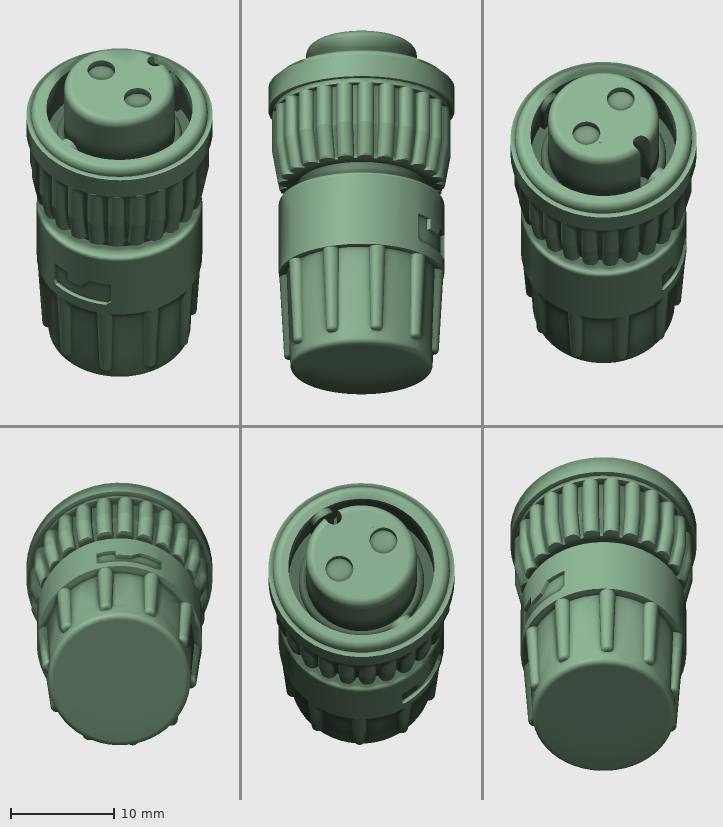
import cadquery as cq
import math

TOTAL_HEIGHT = 33.53

SHELL_BOTTOM_RADIUS = 6.87
SHELL_TOP_RADIUS = 7.25
SHELL_BOTTOM_FILLET = 0.55
SHELL_RIB_COUNT = 10
SHELL_RIB_END_Z = 1.37
SHELL_RIB_END_FILLET = 0.4
SHELL_RIB_TOP_RADIUS = 0.8
SHELL_RIB_END_RADIUS = 0.6
SHELL_RIB_TOP_OFFSET = 7.18
SHELL_RIB_END_OFFSET = 6.9

BARREL_RADIUS = 8.0
BARREL_BOTTOM_Z = 9.92
BARREL_TOP_Z = 17.47
BARREL_FILLET = 0.35
RECESS_BOTTOM_Z = 11.13
RECESS_TOP_Z = 13.95
RECESS_TAB_Z = 12.88
RECESS_HALF_WIDTH = 3.15
RECESS_LEFT_CORNER = 0.27
RECESS_RIGHT_CORNER = 0.47
RECESS_DEPTH = 0.37
RECESS_ANGLE = 18.0
TAB_LEFT = -1.37
TAB_RIGHT = 0.17
TAB_SLOPE_TOP = 1.07

NECK_RADIUS = 6.2

NUT_BOTTOM_Z = 19.18
NUT_BEND_Z = 22.53
NUT_GRIP_TOP_Z = 26.52
FLANGE_BOTTOM_Z = 27.0
FLANGE_TOP_Z = 29.27
NUT_TOP_Z = 30.1
FLANGE_RADIUS = 9.02
LIP_RADIUS = 8.55
LIP_FILLET = 0.77
NUT_RIB_COUNT = 24
NUT_RIB_RADIUS = 0.8
NUT_RIB_OFFSET = 7.85
NUT_RIB_TAPER = 10.0
NUT_BOTTOM_CHAMFER = 0.07
NUT_BOTTOM_CHAMFER_HEIGHT = 0.17
CAVITY_RADIUS = 7.07
CAVITY_FLOOR_Z = 26.15

KEY_RADIUS = 1.2
KEY_CENTER_Z = 28.85
KEY_INNER_Y = 6.45
KEY_OUTER_Y = 7.38

SLEEVE_INNER_RADIUS = 5.15
SLEEVE_OUTER_RADIUS = 6.07
SLEEVE_TOP_Z = 26.82

PLUG_RADIUS = 5.35
PLUG_FILLET = 0.77
MARK_HEIGHT = 0.1
PLUG_TOP_Z = TOTAL_HEIGHT - MARK_HEIGHT
CONTACT_RADIUS = 1.35
CONTACT_OFFSET = 2.58
CONTACT_DEPTH = 0.77
KEYWAY_RADIUS = 0.77
KEYWAY_INNER_Y = 3.95
MARK_X = 2.5
MARK_Y = 1.75
MARK_SIDE = 0.17


def disc(radius, z_low, z_high):
    """Cylinder on the part axis between two heights."""
    return cq.Workplane("XY").workplane(offset=z_low).circle(radius).extrude(z_high - z_low)


def around(shape, count):
    """Copies of a shape spread evenly about Z."""
    return [shape.rotate((0, 0, 0), (0, 0, 1), i * 360 / count) for i in range(count)]


def fuse(body, shapes):
    for shape in shapes:
        body = body.union(shape)
    return body


def make_shell_rib():
    """Tapered round rib on the -Y side; its far end is rounded and its axis leans with the shell."""
    length = BARREL_BOTTOM_Z - SHELL_RIB_END_Z
    flat_radius = SHELL_RIB_END_RADIUS - SHELL_RIB_END_FILLET
    bulge = SHELL_RIB_END_FILLET * (1 - math.sqrt(0.5))
    rib = (
        cq.Workplane("XZ")
        .lineTo(flat_radius, 0)
        .threePointArc(
            (SHELL_RIB_END_RADIUS - bulge, bulge),
            (SHELL_RIB_END_RADIUS, SHELL_RIB_END_FILLET),
        )
        .lineTo(SHELL_RIB_TOP_RADIUS, length)
        .lineTo(0, length)
        .close()
        .revolve(360, (0, 0, 0), (0, 1, 0))
    )
    lean = math.degrees(math.atan2(SHELL_RIB_TOP_OFFSET - SHELL_RIB_END_OFFSET, length))
    return rib.rotate((0, 0, 0), (1, 0, 0), lean).translate((0, -SHELL_RIB_END_OFFSET, SHELL_RIB_END_Z))


def make_shell():
    cone = (
        cq.Workplane("XY")
        .circle(SHELL_BOTTOM_RADIUS)
        .workplane(offset=BARREL_BOTTOM_Z)
        .circle(SHELL_TOP_RADIUS)
        .loft()
        .faces("<Z").edges().fillet(SHELL_BOTTOM_FILLET)
    )
    return fuse(cone, around(make_shell_rib(), SHELL_RIB_COUNT))


def make_recess():
    """Latch recess on the -Y side: a rectangle with cut lower corners and a tab hanging from its top."""
    floor_radius = BARREL_RADIUS - RECESS_DEPTH
    outline = (
        cq.Workplane("XZ")
        .moveTo(-RECESS_HALF_WIDTH, RECESS_TOP_Z)
        .lineTo(TAB_LEFT, RECESS_TOP_Z)
        .lineTo(TAB_LEFT, RECESS_TAB_Z)
        .lineTo(TAB_RIGHT, RECESS_TAB_Z)
        .lineTo(TAB_SLOPE_TOP, RECESS_TOP_Z)
        .lineTo(RECESS_HALF_WIDTH, RECESS_TOP_Z)
        .lineTo(RECESS_HALF_WIDTH, RECESS_BOTTOM_Z + RECESS_RIGHT_CORNER)
        .lineTo(RECESS_HALF_WIDTH - RECESS_RIGHT_CORNER, RECESS_BOTTOM_Z)
        .lineTo(RECESS_LEFT_CORNER - RECESS_HALF_WIDTH, RECESS_BOTTOM_Z)
        .lineTo(-RECESS_HALF_WIDTH, RECESS_BOTTOM_Z + RECESS_LEFT_CORNER)
        .close()
        .extrude(BARREL_RADIUS)
    )
    return outline.cut(disc(floor_radius, RECESS_BOTTOM_Z, RECESS_TOP_Z)).rotate(
        (0, 0, 0), (0, 0, 1), RECESS_ANGLE
    )


def make_barrel():
    barrel = disc(BARREL_RADIUS, BARREL_BOTTOM_Z, BARREL_TOP_Z)
    barrel = barrel.faces(">Z").edges().fillet(BARREL_FILLET)
    for recess in around(make_recess(), 2):
        barrel = barrel.cut(recess)
    return barrel


def make_nut_rib(slope):
    """Round grip rib on the -Y side, straight above the bend and leaning inward below it."""
    overrun = NUT_RIB_RADIUS
    end_z = NUT_BOTTOM_Z - overrun
    end_offset = NUT_RIB_OFFSET - (NUT_BEND_Z - end_z) * slope
    path = (
        cq.Workplane("YZ")
        .moveTo(-NUT_RIB_OFFSET, NUT_GRIP_TOP_Z)
        .lineTo(-NUT_RIB_OFFSET, NUT_BEND_Z)
        .lineTo(-end_offset, end_z)
    )
    return (
        cq.Workplane("XY")
        .workplane(offset=NUT_GRIP_TOP_Z)
        .center(0, -NUT_RIB_OFFSET)
        .circle(NUT_RIB_RADIUS)
        .sweep(path, transition="right")
    )


def make_grip():
    """Ribbed part of the nut, trimmed at its lower end by a plane and a steep chamfer."""
    slope = math.tan(math.radians(NUT_RIB_TAPER))
    taper = (NUT_BEND_Z - NUT_BOTTOM_Z) * slope
    rib_reach = NUT_RIB_OFFSET + NUT_RIB_RADIUS
    core = (
        cq.Workplane("XZ")
        .moveTo(0, NUT_BOTTOM_Z)
        .lineTo(NUT_RIB_OFFSET - taper, NUT_BOTTOM_Z)
        .lineTo(NUT_RIB_OFFSET, NUT_BEND_Z)
        .lineTo(NUT_RIB_OFFSET, NUT_GRIP_TOP_Z)
        .lineTo(0, NUT_GRIP_TOP_Z)
        .close()
        .revolve(360, (0, 0, 0), (0, 1, 0))
    )
    grip = fuse(core, around(make_nut_rib(slope), NUT_RIB_COUNT))
    bottom_reach = rib_reach - taper
    chamfer_top_reach = bottom_reach + NUT_BOTTOM_CHAMFER_HEIGHT * slope
    envelope = (
        cq.Workplane("XZ")
        .moveTo(0, NUT_BOTTOM_Z)
        .lineTo(bottom_reach - NUT_BOTTOM_CHAMFER, NUT_BOTTOM_Z)
        .lineTo(chamfer_top_reach, NUT_BOTTOM_Z + NUT_BOTTOM_CHAMFER_HEIGHT)
        .lineTo(FLANGE_RADIUS, NUT_BEND_Z)
        .lineTo(FLANGE_RADIUS, NUT_GRIP_TOP_Z)
        .lineTo(0, NUT_GRIP_TOP_Z)
        .close()
        .revolve(360, (0, 0, 0), (0, 1, 0))
    )
    return grip.intersect(envelope)


def make_key():
    """Arch-topped block on the -Y side of the cavity wall, standing on the cavity floor."""
    return (
        cq.Workplane("XZ", origin=(0, -KEY_INNER_Y, 0))
        .moveTo(-KEY_RADIUS, CAVITY_FLOOR_Z)
        .lineTo(-KEY_RADIUS, KEY_CENTER_Z)
        .threePointArc((0, KEY_CENTER_Z + KEY_RADIUS), (KEY_RADIUS, KEY_CENTER_Z))
        .lineTo(KEY_RADIUS, CAVITY_FLOOR_Z)
        .close()
        .extrude(KEY_OUTER_Y - KEY_INNER_Y)
    )


def make_nut():
    band = disc(LIP_RADIUS, NUT_GRIP_TOP_Z, NUT_TOP_Z).faces(">Z").edges().fillet(LIP_FILLET)
    nut = make_grip().union(band).union(disc(FLANGE_RADIUS, FLANGE_BOTTOM_Z, FLANGE_TOP_Z))
    nut = nut.cut(disc(CAVITY_RADIUS, CAVITY_FLOOR_Z, NUT_TOP_Z))
    return fuse(nut, around(make_key(), 2))


def make_sleeve():
    """Tube whose upper rim is a half circle in section."""
    rim_radius = (SLEEVE_OUTER_RADIUS - SLEEVE_INNER_RADIUS) / 2
    rim_z = SLEEVE_TOP_Z - rim_radius
    return (
        cq.Workplane("XZ")
        .moveTo(SLEEVE_INNER_RADIUS, NUT_BEND_Z)
        .lineTo(SLEEVE_INNER_RADIUS, rim_z)
        .threePointArc(
            (SLEEVE_INNER_RADIUS + rim_radius, SLEEVE_TOP_Z),
            (SLEEVE_OUTER_RADIUS, rim_z),
        )
        .lineTo(SLEEVE_OUTER_RADIUS, NUT_BEND_Z)
        .close()
        .revolve(360, (0, 0, 0), (0, 1, 0))
    )


def make_plug():
    """Insert with two contact holes, a keyway on the +Y side and a small pin mark on top."""
    plug = disc(PLUG_RADIUS, NUT_BEND_Z, PLUG_TOP_Z).faces(">Z").edges().fillet(PLUG_FILLET)
    contacts = (
        cq.Workplane("XY")
        .workplane(offset=PLUG_TOP_Z - CONTACT_DEPTH)
        .pushPoints([(-CONTACT_OFFSET, 0), (CONTACT_OFFSET, 0)])
        .circle(CONTACT_RADIUS)
        .extrude(CONTACT_DEPTH)
    )
    keyway_center_y = KEYWAY_INNER_Y + KEYWAY_RADIUS
    keyway = (
        cq.Workplane("XY")
        .workplane(offset=CAVITY_FLOOR_Z)
        .moveTo(-KEYWAY_RADIUS, PLUG_RADIUS)
        .lineTo(-KEYWAY_RADIUS, keyway_center_y)
        .threePointArc((0, KEYWAY_INNER_Y), (KEYWAY_RADIUS, keyway_center_y))
        .lineTo(KEYWAY_RADIUS, PLUG_RADIUS)
        .close()
        .extrude(PLUG_TOP_Z - CAVITY_FLOOR_Z)
    )
    mark = cq.Workplane("XY").box(MARK_SIDE, MARK_SIDE, MARK_HEIGHT, centered=(True, True, False))
    return plug.cut(contacts).cut(keyway).union(mark.translate((MARK_X, MARK_Y, PLUG_TOP_Z)))


neck = disc(NECK_RADIUS, BARREL_TOP_Z, NUT_BOTTOM_Z)

result = fuse(make_shell(), [make_barrel(), neck, make_nut(), make_plug(), make_sleeve()])